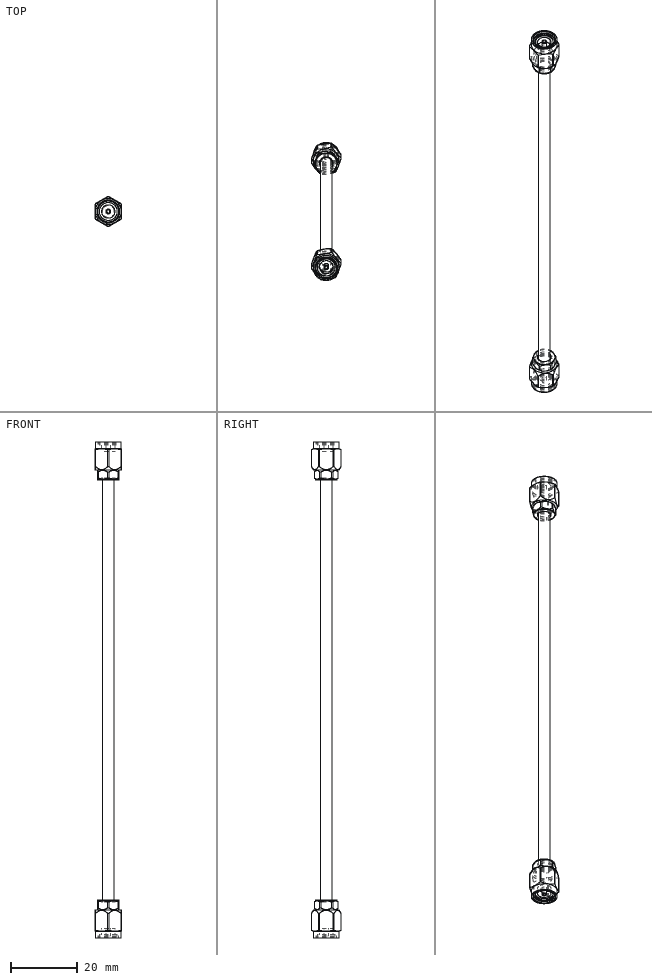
import cadquery as cq
import math

TOTAL_LENGTH = 149.6
PLUG_LENGTH = 11.5
CABLE_DIAMETER = 3.6

RIM_DIAMETER = 7.8
RIM_LENGTH = 2.1
NUT_FLATS = 8.0
NUT_CORNER_DIAMETER = 9.0
NUT_LENGTH = 6.5
NUT_FRONT_CHAMFER = 0.3
NUT_BACK_CHAMFER = 1.0

BODY_FLATS = 6.5
BODY_CORNER_DIAMETER = 7.2
BODY_FRONT_DIAMETER = 6.3
BODY_FRONT_CHAMFER = 0.6
BODY_BACK_CHAMFER = 0.3
TAIL_DIAMETER = BODY_FLATS
TAIL_LENGTH = 0.3

CABLE_ENTRY_DIAMETER = 4.0
CABLE_ENTRY_DEPTH = 0.6

MOUTH_DIAMETER = 6.9
BORE_DIAMETER = 6.3
MOUTH_DEPTH = 0.3
THREAD_DIAMETER = 5.4
THREAD_RECESS = 0.6
SLEEVE_RECESS = 1.0
SLEEVE_BORE_DIAMETER = 4.0
INSULATOR_RECESS = 3.0
PIN_DIAMETER = 1.45
PIN_TIP_DIAMETER = 0.94
PIN_RECESS = 0.6

MATING_Z = TOTAL_LENGTH / 2
NUT_FRONT_Z = MATING_Z - RIM_LENGTH
NUT_BACK_Z = NUT_FRONT_Z - NUT_LENGTH
BACK_Z = MATING_Z - PLUG_LENGTH
TAIL_FRONT_Z = BACK_Z + TAIL_LENGTH
CABLE_END_Z = BACK_Z + CABLE_ENTRY_DEPTH
INSULATOR_Z = MATING_Z - INSULATOR_RECESS


def turned(*stations):
    """Solid of revolution about Z through (diameter, z) stations listed from bottom to top."""
    outline = [(diameter / 2, z) for diameter, z in stations]
    axis_points = [(0, stations[-1][1]), (0, stations[0][1])]
    return cq.Workplane("XZ").polyline(outline + axis_points).close().revolve(360, (0, 0, 0), (0, 1, 0))


def cylinder(diameter, bottom_z, top_z):
    return turned((diameter, bottom_z), (diameter, top_z))


def hexagon(flats, bottom_z, top_z):
    """Hexagonal bar with two flats facing +X and -X."""
    corners = flats / math.cos(math.pi / 6)
    bar = cq.Workplane("XY").workplane(offset=bottom_z).polygon(6, corners).extrude(top_z - bottom_z)
    return bar.rotate((0, 0, 0), (0, 0, 1), 30)


def make_nut():
    """Hexagon with turned corners, chamfered at both ends, plus its round rim."""
    envelope = turned(
        (RIM_DIAMETER, NUT_BACK_Z),
        (NUT_CORNER_DIAMETER, NUT_BACK_Z + NUT_BACK_CHAMFER),
        (NUT_CORNER_DIAMETER, NUT_FRONT_Z - NUT_FRONT_CHAMFER),
        (RIM_DIAMETER, NUT_FRONT_Z),
    )
    rim = cylinder(RIM_DIAMETER, NUT_FRONT_Z, MATING_Z)
    return hexagon(NUT_FLATS, NUT_BACK_Z, NUT_FRONT_Z).intersect(envelope).union(rim)


def make_rear_body():
    """Small hexagon with turned, chamfered corners, plus the tail with its cable recess."""
    envelope = turned(
        (TAIL_DIAMETER, TAIL_FRONT_Z),
        (BODY_CORNER_DIAMETER, TAIL_FRONT_Z + BODY_BACK_CHAMFER),
        (BODY_CORNER_DIAMETER, NUT_BACK_Z - BODY_FRONT_CHAMFER),
        (BODY_FRONT_DIAMETER, NUT_BACK_Z),
    )
    tail = cylinder(TAIL_DIAMETER, BACK_Z, TAIL_FRONT_Z)
    body = hexagon(BODY_FLATS, TAIL_FRONT_Z, NUT_BACK_Z).intersect(envelope).union(tail)
    return body.cut(cylinder(CABLE_ENTRY_DIAMETER, BACK_Z, CABLE_END_Z))


def make_socket():
    """Stepped recess in the mating face: flared mouth, bore, thread step and sleeve bore."""
    steps = turned(
        (THREAD_DIAMETER, MATING_Z - SLEEVE_RECESS),
        (THREAD_DIAMETER, MATING_Z - THREAD_RECESS),
        (BORE_DIAMETER, MATING_Z - THREAD_RECESS),
        (BORE_DIAMETER, MATING_Z - MOUTH_DEPTH),
        (MOUTH_DIAMETER, MATING_Z),
    )
    return steps.union(cylinder(SLEEVE_BORE_DIAMETER, INSULATOR_Z, MATING_Z))


def make_pin():
    """Centre contact with a chamfered tip."""
    pin = cylinder(PIN_DIAMETER, INSULATOR_Z, MATING_Z - PIN_RECESS)
    return pin.faces(">Z").chamfer((PIN_DIAMETER - PIN_TIP_DIAMETER) / 2)


def make_plug(tilt):
    """Complete plug, turned about X by the tilt angle to face its end of the cable."""
    plug = make_nut().union(make_rear_body()).cut(make_socket()).union(make_pin())
    return plug.rotate((0, 0, 0), (1, 0, 0), tilt)


cable = cylinder(CABLE_DIAMETER, -CABLE_END_Z, CABLE_END_Z)
plugs = [make_plug(tilt) for tilt in (0, 180)]

result = cq.Compound.makeCompound([cable.val(), *[plug.val() for plug in plugs]])